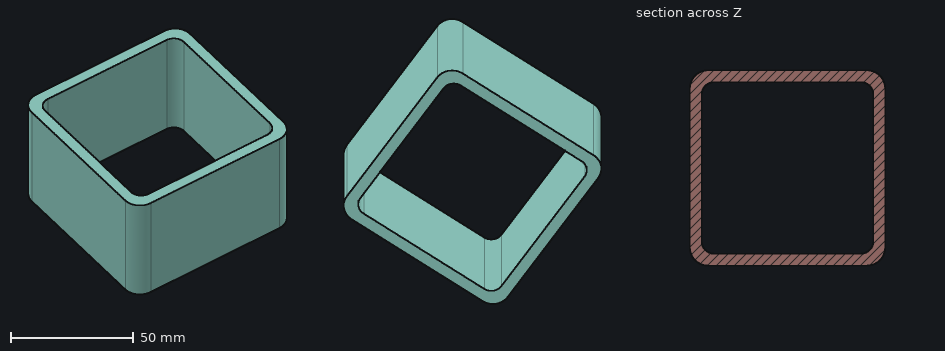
import cadquery as cq

SIDE = 80.0
HEIGHT = 50.0
WALL = 5.0
OUTER_CORNER_RADIUS = 7.5
INNER_CORNER_RADIUS = 5.0


def rounded_square_prism(side, corner_radius):
    """Upright square prism standing on Z = 0 with rounded vertical edges."""
    prism = cq.Workplane("XY").rect(side, side).extrude(HEIGHT)
    return prism.edges("|Z").fillet(corner_radius)


outer_body = rounded_square_prism(SIDE, OUTER_CORNER_RADIUS)
through_opening = rounded_square_prism(SIDE - 2 * WALL, INNER_CORNER_RADIUS)

result = outer_body.cut(through_opening)